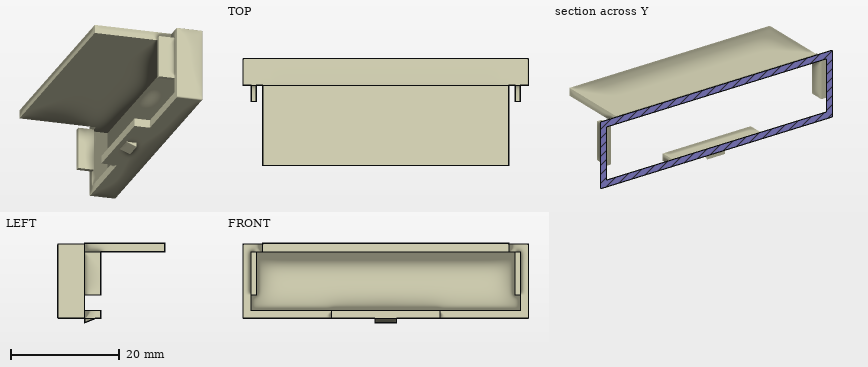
import cadquery as cq

housing_length = 52.8
housing_depth = 5.0
housing_height = 13.8
wall = 1.5
back_thickness = 2.0
edge_radius = 0.25

shelf_length = 45.5
shelf_reach = 14.8
shelf_rise = 0.1
shelf_thickness = wall + shelf_rise

front_reach = 3.0

tongue_length = 20.0
barb_length = 4.0
barb_drop = 0.8
barb_run = 2.0

tab_thickness = 1.0
tab_height = 8.0

cavity_length = housing_length - 2 * wall
cavity_height = housing_height - 2 * wall
cavity_depth = housing_depth - back_thickness
cavity_top = housing_height - wall


def block(length, depth, height, x_center, y_front, z_bottom):
    """Box centred on x_center, with its front face and bottom at the given places."""
    box = cq.Workplane("XY").box(length, depth, height, centered=(True, False, False))
    return box.translate((x_center, y_front, z_bottom))


def make_tray():
    """Tray with its back and side edges rounded and its rim left sharp."""
    outer = block(housing_length, housing_depth, housing_height, 0, 0, 0)
    outer = outer.edges("|Y or >Y").fillet(edge_radius)
    cavity = block(cavity_length, cavity_depth, cavity_height, 0, 0, wall)
    return outer.cut(cavity)


def make_shelf():
    """Shelf whose underside is level with the top of the cavity."""
    return block(shelf_length, shelf_reach, shelf_thickness, 0, -shelf_reach, cavity_top)


def make_tongue():
    """Tongue as thick as the bottom wall, with a barb tapering away towards its tip."""
    tongue = block(tongue_length, front_reach, wall, 0, -front_reach, 0)
    barb = (
        cq.Workplane("YZ")
        .polyline([(0, 0), (0, -barb_drop), (-barb_run, 0)])
        .close()
        .extrude(barb_length / 2, both=True)
    )
    return tongue.union(barb)


def make_side_tab(side):
    """Tab in front of the rim, flush with one end and the top of the cavity."""
    x_center = side * (cavity_length - tab_thickness) / 2
    z_bottom = cavity_top - tab_height
    return block(tab_thickness, front_reach, tab_height, x_center, -front_reach, z_bottom)


housing = make_tray().union(make_shelf()).union(make_tongue())
side_tabs = [make_side_tab(side) for side in (-1, 1)]

result = cq.Compound.makeCompound([housing.solids().val(), *[tab.val() for tab in side_tabs]])